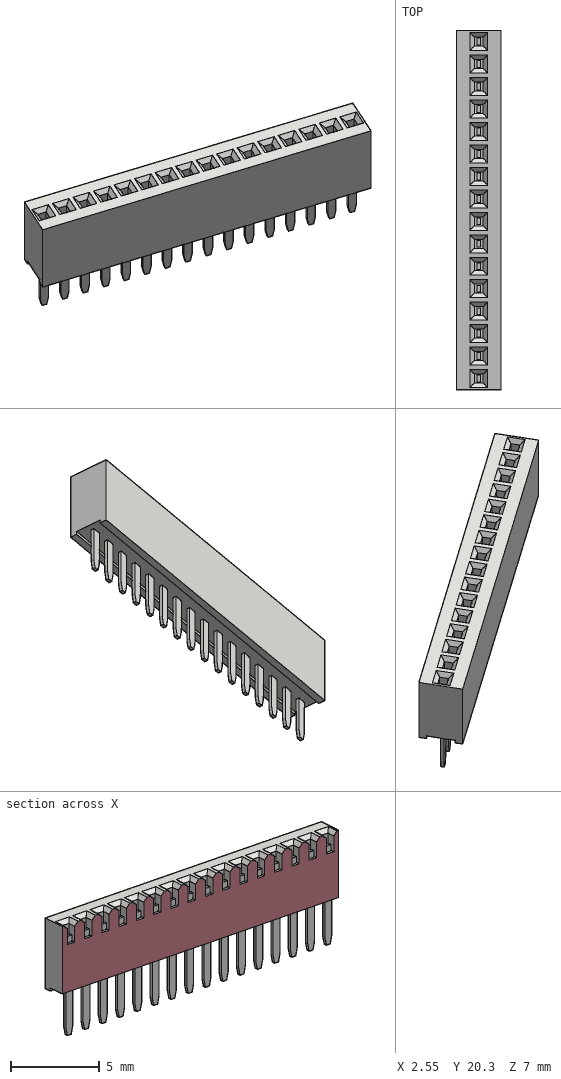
import cadquery as cq

CONTACT_COUNT = 16
LENGTH = 20.32
WIDTH = 2.55
TOTAL_HEIGHT = 7.0
HOUSING_HEIGHT = 4.4
PITCH = LENGTH / CONTACT_COUNT

CHANNEL_WIDTH = 1.67
CHANNEL_DEPTH = 0.2

MOUTH_SIZE = 1.02
THROAT_SIZE = 0.5
FUNNEL_DEPTH = 0.25
SOCKET_DEPTH = 1.22

BLADE_THICKNESS = 0.2
BLADE_WIDTH = 0.5
BLADE_UPPER_WIDTH = 0.39
BLADE_TIP_WIDTH = 0.28
BLADE_TIP_LENGTH = 0.5
BLADE_TOP_BELOW_RIM = 0.81

BLADE_BOTTOM = HOUSING_HEIGHT - TOTAL_HEIGHT
BLADE_TOP = HOUSING_HEIGHT - BLADE_TOP_BELOW_RIM
SOCKET_FLOOR = HOUSING_HEIGHT - SOCKET_DEPTH


def make_housing():
    block = cq.Workplane("XY").box(WIDTH, LENGTH, HOUSING_HEIGHT, centered=(True, True, False))
    channel = cq.Workplane("XY").box(CHANNEL_WIDTH, LENGTH, CHANNEL_DEPTH, centered=(True, True, False))
    return block.cut(channel)


def make_socket():
    funnel = (
        cq.Workplane("XY", origin=(0, 0, HOUSING_HEIGHT))
        .rect(MOUTH_SIZE, MOUTH_SIZE)
        .workplane(offset=-FUNNEL_DEPTH)
        .rect(THROAT_SIZE, THROAT_SIZE)
        .loft(ruled=True)
    )
    throat = (
        cq.Workplane("XY", origin=(0, 0, HOUSING_HEIGHT - FUNNEL_DEPTH))
        .rect(THROAT_SIZE, THROAT_SIZE)
        .extrude(FUNNEL_DEPTH - SOCKET_DEPTH)
    )
    return funnel.union(throat)


def make_blade():
    half_width = BLADE_WIDTH / 2
    half_upper = BLADE_UPPER_WIDTH / 2
    half_tip = BLADE_TIP_WIDTH / 2
    shoulder = BLADE_BOTTOM + BLADE_TIP_LENGTH
    outline = [
        (-half_upper, BLADE_TOP),
        (-half_upper, SOCKET_FLOOR),
        (-half_width, SOCKET_FLOOR),
        (-half_width, shoulder),
        (-half_tip, BLADE_BOTTOM),
        (half_tip, BLADE_BOTTOM),
        (half_width, shoulder),
        (half_width, SOCKET_FLOOR),
        (half_upper, SOCKET_FLOOR),
        (half_upper, BLADE_TOP),
    ]
    return cq.Workplane("YZ").polyline(outline).close().extrude(BLADE_THICKNESS / 2, both=True)


socket = make_socket()
blade = make_blade()
result = make_housing()
for index in range(CONTACT_COUNT):
    position = (0, (index - (CONTACT_COUNT - 1) / 2) * PITCH, 0)
    result = result.cut(socket.translate(position)).union(blade.translate(position))